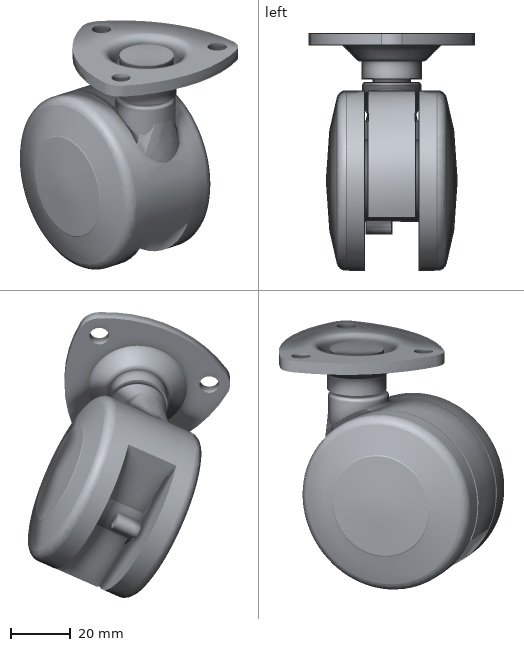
import cadquery as cq
import math

TOTAL_HEIGHT = 79.5

WHEEL_RADIUS = 30.1
WHEEL_X = -16.8
WHEEL_Z = WHEEL_RADIUS
WHEEL_INNER_Y = 9.1
WHEEL_SHOULDER_Y = 17.7
WHEEL_SHOULDER_ROUND = 3.2
WHEEL_CENTRE_Y = 21.95
CAP_FOOT_RADIUS = 17.6
CAP_FOOT_Y = 20.6
CAP_RIM_RADIUS = 17.25
CAP_RIM_Y = 20.75

PLATE_BOTTOM_Z = 75.5
BOLT_CIRCLE_RADIUS = 24.0
BOLT_HOLE_RADIUS = 3.25
BOLT_ANGLES = (60, 180, 300)
CORNER_RADIUS = 7.0
DISH_RADIUS = 14.1
DISH_FLOOR_RADIUS = 9.9
DISH_FLOOR_Z = TOTAL_HEIGHT - (DISH_RADIUS - DISH_FLOOR_RADIUS)
DISH_EDGE_ROUND = 3.8
CONE_RADIUS = 16.45
CONE_BOTTOM_Z = 70.2
CONE_BOTTOM_RADIUS = CONE_RADIUS - (PLATE_BOTTOM_Z - CONE_BOTTOM_Z)
CONE_TOE_ROUND = 2.4
NECK_RADIUS = 10.0
NECK_BOTTOM_Z = 64.2

PIN_RADIUS = 6.3
PIN_BOTTOM_Z = 47.7
PIN_HEAD_RADIUS = 9.1
PIN_HEAD_TOP_Z = 78.1

BAND_HALF_WIDTH = 7.95
BAND_BOTTOM_Z = 17.65
HUB_RADIUS = 13.7
POST_RADIUS = 9.8
POST_FRONT_X = -1.0
POST_BACK_X = -0.15
POST_TOP_Z = 63.05
POST_EDGE_ROUND = 1.1
POST_FOOT_ROUND = 1.0
RELIEF_RADIUS = 31.5
GUSSET_TOP_Z = 56.85
GUSSET_WALL_X = 5.7
GUSSET_TOP_CORNER_X = 8.9
GUSSET_TOP_HALF_WIDTH = 6.9
GUSSET_FOOT_HALF_WIDTH = 13.5
GUSSET_FOOT_CORNER_X = 7.55
GUSSET_FOOT_X = 11.6

STUB_WIDTH = 8.7
STUB_BOTTOM_Z = 12.2
STUB_RADIUS = 2.4
STUB_REACH = 4.8


def wheel_axis_disc(radius, y_from, y_to):
    """Disc on the wheel axis that spans y_from to y_to."""
    centre = cq.Workplane("XZ", origin=(WHEEL_X, y_from, WHEEL_Z))
    return centre.circle(radius).extrude(y_from - y_to)


def box_between(low, high):
    """Axis-aligned box from its lowest to its highest corner."""
    size = [b - a for a, b in zip(low, high)]
    return cq.Workplane("XY").box(*size, centered=False).translate(low)


def make_wheel(side):
    """Wheel on the +Y (side 1) or -Y (side -1) flank, with a raised cap on its outer face."""
    wheel = (
        cq.Workplane("XY")
        .moveTo(0, WHEEL_INNER_Y)
        .lineTo(WHEEL_RADIUS, WHEEL_INNER_Y)
        .lineTo(WHEEL_RADIUS, WHEEL_SHOULDER_Y)
        .lineTo(CAP_FOOT_RADIUS, CAP_FOOT_Y)
        .lineTo(CAP_RIM_RADIUS, CAP_RIM_Y)
        .lineTo(0, WHEEL_CENTRE_Y)
        .close()
        .revolve(360, (0, 0), (0, 1))
        .edges(cq.NearestToPointSelector((0, WHEEL_SHOULDER_Y, 0)))
        .fillet(WHEEL_SHOULDER_ROUND)
    )
    if side < 0:
        wheel = wheel.mirror("XZ")
    return wheel.translate((WHEEL_X, 0, WHEEL_Z))


def polar(radius, degrees, centre=(0, 0)):
    """Point at a distance and direction from a centre."""
    angle = math.radians(degrees)
    return (centre[0] + radius * math.cos(angle), centre[1] + radius * math.sin(angle))


def make_plate_outline():
    """Rounded triangle: each side is an arc about the bolt hole of the opposite corner."""
    hole_spacing = BOLT_CIRCLE_RADIUS * math.sqrt(3)
    side_radius = hole_spacing + CORNER_RADIUS
    outline = cq.Workplane("XY", origin=(0, 0, PLATE_BOTTOM_Z))
    outline = outline.moveTo(*polar(CORNER_RADIUS, 30, polar(BOLT_CIRCLE_RADIUS, 60)))
    for corner in BOLT_ANGLES:
        hole = polar(BOLT_CIRCLE_RADIUS, corner)
        opposite_hole = polar(BOLT_CIRCLE_RADIUS, corner - 120)
        outline = outline.threePointArc(
            polar(CORNER_RADIUS, corner, hole),
            polar(CORNER_RADIUS, corner + 30, hole),
        )
        outline = outline.threePointArc(
            polar(side_radius, corner + 60, opposite_hole),
            polar(side_radius, corner + 90, opposite_hole),
        )
    return outline.close()


def make_plate():
    """Mounting plate with bolt holes, a dished seat for the pin head and a neck."""
    sheet = make_plate_outline().extrude(TOTAL_HEIGHT - PLATE_BOTTOM_Z)
    cup = (
        cq.Workplane("XZ")
        .moveTo(0, PLATE_BOTTOM_Z)
        .lineTo(CONE_RADIUS, PLATE_BOTTOM_Z)
        .lineTo(CONE_BOTTOM_RADIUS, CONE_BOTTOM_Z)
        .lineTo(0, CONE_BOTTOM_Z)
        .close()
        .revolve(360, (0, 0), (0, 1))
        .faces("<Z")
        .edges()
        .fillet(CONE_TOE_ROUND)
    )
    neck = (
        cq.Workplane("XY", origin=(0, 0, NECK_BOTTOM_Z))
        .circle(NECK_RADIUS)
        .extrude(PLATE_BOTTOM_Z - NECK_BOTTOM_Z)
    )
    dish = (
        cq.Workplane("XZ")
        .moveTo(0, TOTAL_HEIGHT)
        .lineTo(DISH_RADIUS, TOTAL_HEIGHT)
        .lineTo(DISH_FLOOR_RADIUS, DISH_FLOOR_Z)
        .lineTo(0, DISH_FLOOR_Z)
        .close()
        .revolve(360, (0, 0), (0, 1))
    )
    bolt_holes = (
        cq.Workplane("XY", origin=(0, 0, PLATE_BOTTOM_Z))
        .pushPoints([polar(BOLT_CIRCLE_RADIUS, angle) for angle in BOLT_ANGLES])
        .circle(BOLT_HOLE_RADIUS)
        .extrude(TOTAL_HEIGHT - PLATE_BOTTOM_Z)
    )
    plate = sheet.union(cup).union(neck).cut(dish).cut(bolt_holes)
    dish_edge = cq.NearestToPointSelector((0, 0, TOTAL_HEIGHT))
    return plate.edges(dish_edge).fillet(DISH_EDGE_ROUND).cut(make_pin())


def make_pin():
    """Swivel pin whose head rests on the dish floor of the plate."""
    shaft = (
        cq.Workplane("XY", origin=(0, 0, PIN_BOTTOM_Z))
        .circle(PIN_RADIUS)
        .extrude(DISH_FLOOR_Z - PIN_BOTTOM_Z)
    )
    head = (
        cq.Workplane("XY", origin=(0, 0, DISH_FLOOR_Z))
        .circle(PIN_HEAD_RADIUS)
        .extrude(PIN_HEAD_TOP_Z - DISH_FLOOR_Z)
    )
    return shaft.union(head)


def make_band():
    """Round core between the wheels, cut flat underneath, with the wider hub that carries them."""
    band = wheel_axis_disc(WHEEL_RADIUS, -BAND_HALF_WIDTH, BAND_HALF_WIDTH)
    wall = wheel_axis_disc(WHEEL_RADIUS, -WHEEL_INNER_Y, WHEEL_INNER_Y)
    reach = 2 * WHEEL_RADIUS
    wall = wall.intersect(
        box_between((GUSSET_WALL_X, -reach, BAND_BOTTOM_Z), (reach, reach, GUSSET_TOP_Z))
    )
    below = box_between((WHEEL_X - reach, -reach, -reach), (reach, reach, BAND_BOTTOM_Z))
    hub = wheel_axis_disc(HUB_RADIUS, -WHEEL_INNER_Y, WHEEL_INNER_Y)
    return band.cut(below).union(wall).union(hub)


def make_post():
    """Upright post around the pin, relieved on both flanks to clear the wheels."""
    post = (
        cq.Workplane("XY", origin=(0, 0, WHEEL_Z))
        .moveTo(POST_FRONT_X, -POST_RADIUS)
        .lineTo(POST_BACK_X, -POST_RADIUS)
        .threePointArc((POST_BACK_X + POST_RADIUS, 0), (POST_BACK_X, POST_RADIUS))
        .lineTo(POST_FRONT_X, POST_RADIUS)
        .threePointArc((POST_FRONT_X - POST_RADIUS, 0), (POST_FRONT_X, -POST_RADIUS))
        .close()
        .extrude(POST_TOP_Z - WHEEL_Z)
        .faces(">Z")
        .edges()
        .fillet(POST_EDGE_ROUND)
    )
    for side in (-1, 1):
        post = post.cut(wheel_axis_disc(RELIEF_RADIUS, side * BAND_HALF_WIDTH, side * WHEEL_CENTRE_Y))
    return post


def make_gusset():
    """Back of the housing, flaring downwards from the round post to the gap between the wheels."""
    post_back = POST_BACK_X + POST_RADIUS
    corner_y = math.sqrt(POST_RADIUS**2 - (GUSSET_TOP_CORNER_X - POST_BACK_X) ** 2)
    top = (
        cq.Workplane("XY", origin=(0, 0, GUSSET_TOP_Z))
        .moveTo(GUSSET_WALL_X, -GUSSET_TOP_HALF_WIDTH)
        .lineTo(GUSSET_TOP_CORNER_X, -corner_y)
        .threePointArc((post_back, 0), (GUSSET_TOP_CORNER_X, corner_y))
        .lineTo(GUSSET_WALL_X, GUSSET_TOP_HALF_WIDTH)
        .close()
    )
    foot = (
        cq.Workplane("XY", origin=(0, 0, WHEEL_Z))
        .moveTo(GUSSET_WALL_X, -GUSSET_FOOT_HALF_WIDTH)
        .lineTo(GUSSET_FOOT_CORNER_X, -GUSSET_FOOT_HALF_WIDTH)
        .threePointArc((GUSSET_FOOT_X, 0), (GUSSET_FOOT_CORNER_X, GUSSET_FOOT_HALF_WIDTH))
        .lineTo(GUSSET_WALL_X, GUSSET_FOOT_HALF_WIDTH)
        .close()
    )
    flare = cq.Workplane(cq.Solid.makeLoft([top.val(), foot.val()], True))
    gap = box_between((0, -WHEEL_INNER_Y, 0), (WHEEL_RADIUS, WHEEL_INNER_Y, TOTAL_HEIGHT))
    return flare.intersect(gap)


def make_stub():
    """Round-ended stub that hangs below the hub on its +Y half."""
    return (
        cq.Workplane("XZ", origin=(WHEEL_X, 0, STUB_BOTTOM_Z + STUB_RADIUS))
        .moveTo(-STUB_RADIUS, 0)
        .threePointArc((0, -STUB_RADIUS), (STUB_RADIUS, 0))
        .lineTo(STUB_RADIUS, STUB_REACH)
        .lineTo(-STUB_RADIUS, STUB_REACH)
        .close()
        .extrude(-STUB_WIDTH)
    )


def make_housing():
    """Housing between the wheels, bored for the swivel pin."""
    housing = make_band().union(make_post())
    post_foot = cq.NearestToPointSelector((POST_FRONT_X - POST_RADIUS, 0, WHEEL_Z + WHEEL_RADIUS))
    housing = housing.edges(post_foot).fillet(POST_FOOT_ROUND)
    return housing.union(make_gusset()).union(make_stub()).cut(make_pin())


plate = make_plate()
pin = make_pin()
housing = make_housing()
wheels = [make_wheel(side) for side in (-1, 1)]

result = cq.Compound.makeCompound(
    [plate.val(), pin.val(), housing.val(), *(wheel.val() for wheel in wheels)]
)